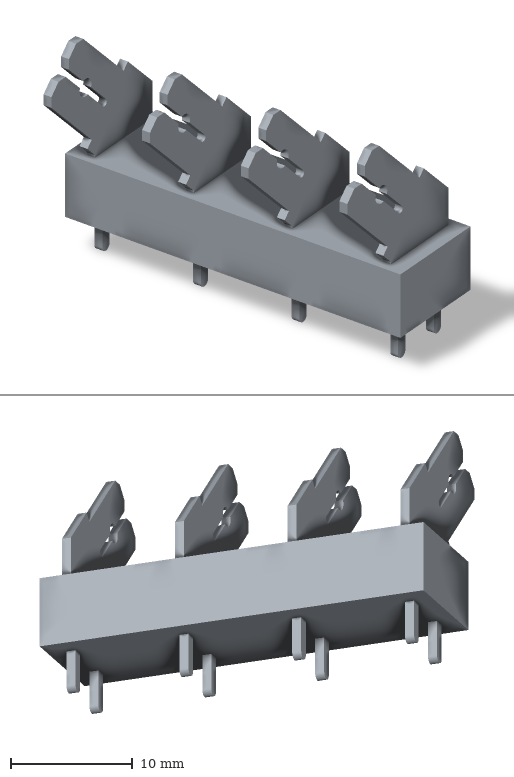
import cadquery as cq
import math

HOUSING_LENGTH = 34.0
HOUSING_DEPTH = 9.8
HOUSING_HEIGHT = 6.0

CONTACT_COUNT = 4
CONTACT_PITCH = 10.0
CONTACT_THICKNESS = 0.8

PLATE_WIDTH = 8.0
BEND_ANGLE = 45.0
BEND_HEIGHT = 1.89
SHOULDER_DISTANCE = 3.18

TAB_WIDTH = 6.3
TAB_LENGTH = 8.68
TIP_CHAMFER = 0.71
FORK_SLOT_WIDTH = 0.65
FORK_SLOT_LENGTH = 8.38
DETENT_DIAMETER = 1.65
DETENT_FROM_TIP = 4.3

LEG_SPACING = 5.0
LEG_WIDTH = 1.0
LEG_PROTRUSION = 3.5

tip_distance = SHOULDER_DISTANCE + TAB_LENGTH
prong_width = (TAB_WIDTH - FORK_SLOT_WIDTH) / 2
leg_length = HOUSING_HEIGHT + LEG_PROTRUSION
leg_centres = [-LEG_SPACING / 2, LEG_SPACING / 2]
contact_centres = [(i - (CONTACT_COUNT - 1) / 2) * CONTACT_PITCH for i in range(CONTACT_COUNT)]


def upright_plane():
    """Contact's side plane: local x is Y, local y is Z, normal is X."""
    return cq.Workplane("YZ")


def bent_plane():
    """Side plane with its origin at the bend and local y along the bent centre line."""
    return upright_plane().center(0, BEND_HEIGHT).transformed(rotate=(0, 0, BEND_ANGLE))


def make_plate():
    """Bent plate from the housing top to the shoulders, mitred at the bend."""
    half = PLATE_WIDTH / 2
    miter_rise = half * math.tan(math.radians(BEND_ANGLE / 2))
    upright = (
        upright_plane()
        .polyline([
            (-half, 0),
            (half, 0),
            (half, BEND_HEIGHT + miter_rise),
            (-half, BEND_HEIGHT - miter_rise),
        ])
        .close()
        .extrude(CONTACT_THICKNESS / 2, both=True)
    )
    bent = (
        bent_plane()
        .polyline([
            (-half, miter_rise),
            (half, -miter_rise),
            (half, SHOULDER_DISTANCE),
            (-half, SHOULDER_DISTANCE),
        ])
        .close()
        .extrude(CONTACT_THICKNESS / 2, both=True)
    )
    return upright.union(bent)


def make_prong(side):
    """One prong of the tab, from the shoulders to its tip, with both tip corners chamfered."""
    outer = side * TAB_WIDTH / 2
    inner = outer - side * prong_width
    chamfer = side * TIP_CHAMFER
    chamfer_start = tip_distance - TIP_CHAMFER
    return (
        bent_plane()
        .polyline([
            (inner, SHOULDER_DISTANCE),
            (outer, SHOULDER_DISTANCE),
            (outer, chamfer_start),
            (outer - chamfer, tip_distance),
            (inner + chamfer, tip_distance),
            (inner, chamfer_start),
        ])
        .close()
        .extrude(CONTACT_THICKNESS / 2, both=True)
    )


def make_fork_cutter():
    """Round-ended slot between the prongs, open at the tip, with a round detent hole across it."""
    slot = (
        bent_plane()
        .center(0, tip_distance)
        .slot2D(2 * FORK_SLOT_LENGTH, FORK_SLOT_WIDTH, 90)
        .extrude(CONTACT_THICKNESS, both=True)
    )
    detent = (
        bent_plane()
        .center(0, tip_distance - DETENT_FROM_TIP)
        .circle(DETENT_DIAMETER / 2)
        .extrude(CONTACT_THICKNESS, both=True)
    )
    return slot.union(detent)


def make_tab():
    """Forked tab: two prongs joined by a web, which the fork slot then cuts back."""
    web = (
        bent_plane()
        .center(0, SHOULDER_DISTANCE + TAB_LENGTH / 4)
        .rect(TAB_WIDTH, TAB_LENGTH / 2)
        .extrude(CONTACT_THICKNESS / 2, both=True)
    )
    return web.union(make_prong(1)).union(make_prong(-1)).cut(make_fork_cutter())


def make_leg(y):
    """Solder leg from the plate's foot down to its fully rounded end below the housing."""
    radius = LEG_WIDTH / 2
    arc_start = radius - leg_length
    return (
        upright_plane()
        .center(y, 0)
        .moveTo(-radius, 0)
        .lineTo(-radius, arc_start)
        .threePointArc((0, -leg_length), (radius, arc_start))
        .lineTo(radius, 0)
        .close()
        .extrude(CONTACT_THICKNESS / 2, both=True)
    )


def make_contact(x):
    """One bent contact as a single solid, centred on the given X."""
    contact = make_plate().union(make_tab())
    for y in leg_centres:
        contact = contact.union(make_leg(y))
    return contact.translate((x, 0, 0))


def make_housing():
    """Block with one rectangular through hole for each solder leg."""
    leg_positions = [(x, y) for x in contact_centres for y in leg_centres]
    return (
        cq.Workplane("XY")
        .rect(HOUSING_LENGTH, HOUSING_DEPTH)
        .extrude(-HOUSING_HEIGHT)
        .cut(
            cq.Workplane("XY")
            .pushPoints(leg_positions)
            .rect(CONTACT_THICKNESS, LEG_WIDTH)
            .extrude(-HOUSING_HEIGHT)
        )
    )


housing = make_housing()
contacts = [make_contact(x) for x in contact_centres]
result = cq.Compound.makeCompound([housing.val(), *[contact.val() for contact in contacts]])